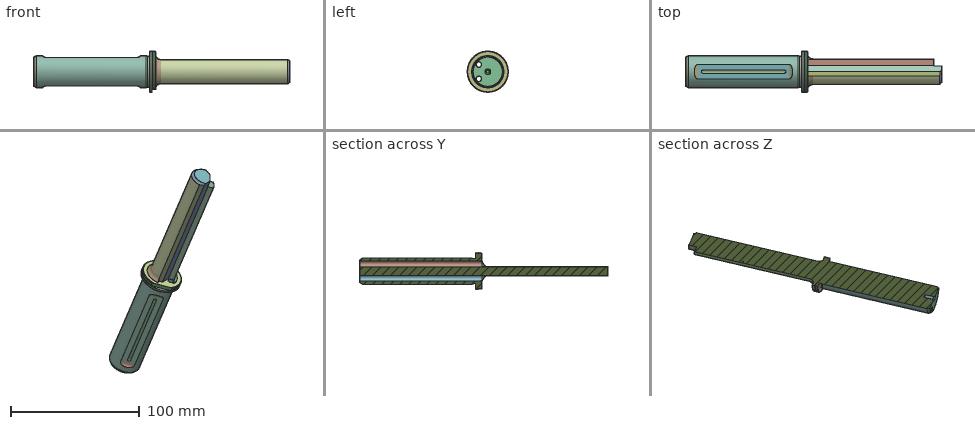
import cadquery as cq
import math


total_length = 199.0
flange_start = 90.0
flange_step = 92.0
flange_end = 95.0

body_diameter = 25.0
flange_diameter = 32.0
shank_diameter = 20.0

body_chamfer_length = 2.0
body_chamfer_depth = 1.2
undercut_length = 2.5
undercut_taper = 1.0
undercut_depth = 0.4
undercut_fillet = 0.4
flange_front_chamfer = 0.4
flange_rear_chamfer = 0.5
neck_fillet_radius = 5.0
neck_fillet_length = 4.2
tip_chamfer = 1.8

flange_flat_z = -13.7

flat_start = 9.8
flat_end = 80.0
flat_height = 11.1
flat_runout_radius = 4.0
groove_start = 12.1
groove_end = 78.0
groove_radius = 2.0
groove_depth = 0.4

flute_wall_y = -3.4
ridge_y = 0.2
tongue_y = 5.0
tongue_half_thickness = 3.5
tongue_end = 192.8
tip_step_y = 4.5

coolant_hole_diameter = 4.0
coolant_hole_y = 7.0
coolant_hole_z = 5.5
center_hole_diameter = 2.4
center_hole_depth = 8.0
countersink_diameter = 4.5

body_radius = body_diameter / 2
flange_radius = flange_diameter / 2
shank_radius = shank_diameter / 2
ridge_height = math.sqrt(shank_radius**2 - flute_wall_y**2)
tongue_wall_y = math.sqrt(shank_radius**2 - tongue_half_thickness**2)
clearance = 2 * flange_diameter


def both_sides(tool):
    """Return the tool together with its mirror image below the XY plane."""
    return tool.union(tool.mirror("XY"))


def turned_blank():
    """Revolve the outer profile about the X axis."""
    undercut_start = flange_start - undercut_length
    undercut_radius = body_radius - undercut_depth
    fillet_end = flange_end + neck_fillet_length

    def fillet_point(distance):
        rise = neck_fillet_radius - math.sqrt(neck_fillet_radius**2 - distance**2)
        return (fillet_end - distance, shank_radius + rise)

    profile = (
        cq.Workplane("XY")
        .moveTo(0, 0)
        .lineTo(0, body_radius - body_chamfer_depth)
        .lineTo(body_chamfer_length, body_radius)
        .lineTo(undercut_start, body_radius)
        .lineTo(undercut_start + undercut_taper, undercut_radius)
        .lineTo(flange_start - undercut_fillet, undercut_radius)
        .radiusArc((flange_start, undercut_radius + undercut_fillet), -undercut_fillet)
        .lineTo(flange_start, flange_radius - flange_front_chamfer)
        .lineTo(flange_start + flange_front_chamfer, flange_radius)
        .lineTo(flange_step, flange_radius)
        .lineTo(flange_step, flange_radius - flange_rear_chamfer)
        .lineTo(flange_step + flange_rear_chamfer, flange_radius)
        .lineTo(flange_end - flange_rear_chamfer, flange_radius)
        .lineTo(flange_end, flange_radius - flange_rear_chamfer)
        .lineTo(*fillet_point(neck_fillet_length))
        .threePointArc(fillet_point(neck_fillet_length / 2), fillet_point(0))
        .lineTo(total_length - tip_chamfer, shank_radius)
        .lineTo(total_length, shank_radius - tip_chamfer)
        .lineTo(total_length, 0)
        .close()
    )
    return profile.revolve(360, (0, 0, 0), (1, 0, 0))


def flange_flat():
    """Block that flattens the underside of the flange's rear step."""
    return cq.Workplane("XY").box(
        flange_end - flange_step, clearance, clearance, centered=(False, True, False)
    ).translate((flange_step, 0, flange_flat_z - clearance))


def clamping_flat():
    """Flat whose ends sweep up in arcs tangent to its floor."""
    arc_center_z = flat_height + flat_runout_radius
    diagonal = flat_runout_radius * math.sqrt(0.5)
    return (
        cq.Workplane("XZ")
        .moveTo(flat_start, flat_height)
        .lineTo(flat_end, flat_height)
        .threePointArc(
            (flat_end + diagonal, arc_center_z - diagonal),
            (flat_end + flat_runout_radius, arc_center_z),
        )
        .lineTo(flat_start - flat_runout_radius, arc_center_z)
        .threePointArc(
            (flat_start - diagonal, arc_center_z - diagonal),
            (flat_start, flat_height),
        )
        .close()
        .extrude(body_radius, both=True)
    )


def clamping_groove():
    """Shallow round-bottomed groove with ball ends, sunk into a clamping flat."""
    axis_z = flat_height - groove_depth + groove_radius
    half_width = math.sqrt(groove_radius**2 - (groove_radius - groove_depth) ** 2)
    first_ball = groove_start + half_width
    last_ball = groove_end - half_width
    groove = (
        cq.Workplane("YZ", origin=(first_ball, 0, axis_z))
        .circle(groove_radius)
        .extrude(last_ball - first_ball)
    )
    for ball_x in (first_ball, last_ball):
        groove = groove.union(cq.Workplane("XY", origin=(ball_x, 0, axis_z)).sphere(groove_radius))
    return groove


def flute():
    """Stepped flute running from the flange to the tip, above the tongue."""
    return (
        cq.Workplane("YZ", origin=(flange_end, 0, 0))
        .moveTo(flute_wall_y, ridge_height)
        .lineTo(ridge_y, ridge_height)
        .lineTo(tongue_y, tongue_half_thickness)
        .lineTo(tongue_wall_y, tongue_half_thickness)
        .lineTo(tongue_wall_y, clearance)
        .lineTo(flute_wall_y, clearance)
        .close()
        .extrude(total_length - flange_end)
    )


def tip_step():
    """Block that shortens the tongue at the tip."""
    return cq.Workplane("XY").box(
        total_length - tongue_end, clearance, clearance, centered=(False, False, True)
    ).translate((tongue_end, tip_step_y, 0))


def coolant_hole():
    """Hole through body and flange that opens into a flute."""
    return (
        cq.Workplane("YZ")
        .center(coolant_hole_y, coolant_hole_z)
        .circle(coolant_hole_diameter / 2)
        .extrude(flange_end)
    )


def center_hole():
    """Blind center hole with a 90 degree countersink."""
    hole_radius = center_hole_diameter / 2
    countersink_radius = countersink_diameter / 2
    return (
        cq.Workplane("XY")
        .moveTo(0, 0)
        .lineTo(0, countersink_radius)
        .lineTo(countersink_radius - hole_radius, hole_radius)
        .lineTo(center_hole_depth, hole_radius)
        .lineTo(center_hole_depth, 0)
        .close()
        .revolve(360, (0, 0, 0), (1, 0, 0))
    )


result = turned_blank().cut(flange_flat())
for mirrored_tool in (clamping_flat(), clamping_groove(), flute(), coolant_hole()):
    result = result.cut(both_sides(mirrored_tool))
result = result.cut(tip_step()).cut(center_hole())